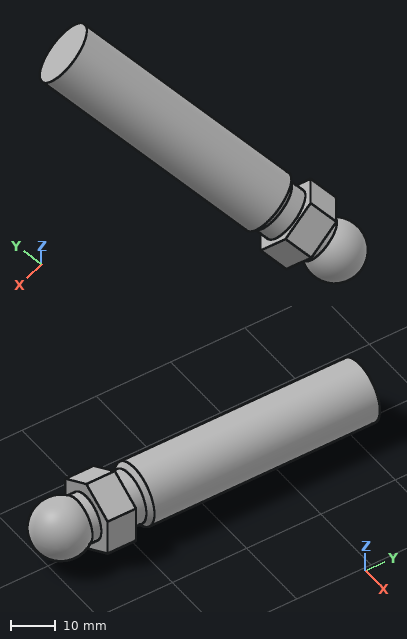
import cadquery as cq
import math

total_length = 88.0
ball_diameter = 15.0
neck_diameter = 12.0
hex_across_flats = 17.0
hex_thickness = 7.7
undercut_diameter = 13.5
shank_diameter = 16.0

hex_start = 14.3
cone_start = 26.0
shank_start = 27.3

tip_y = -total_length / 2
shank_end_y = total_length / 2
ball_radius = ball_diameter / 2
neck_radius = neck_diameter / 2
undercut_radius = undercut_diameter / 2
shank_radius = shank_diameter / 2
ball_center_y = tip_y + ball_radius
hex_start_y = tip_y + hex_start
hex_end_y = hex_start_y + hex_thickness

neck_start_y = ball_center_y + math.sqrt(ball_radius**2 - neck_radius**2)


def make_turned_body():
    """Ball, neck, undercut, cone and shank revolved about the Y axis."""
    return (
        cq.Workplane("XY")
        .moveTo(0, tip_y)
        .threePointArc((ball_radius, ball_center_y), (neck_radius, neck_start_y))
        .lineTo(neck_radius, hex_start_y)
        .lineTo(undercut_radius, hex_start_y)
        .lineTo(undercut_radius, tip_y + cone_start)
        .lineTo(shank_radius, tip_y + shank_start)
        .lineTo(shank_radius, shank_end_y)
        .lineTo(0, shank_end_y)
        .close()
        .revolve(360, (0, 0), (0, 1))
    )


def make_hex_collar():
    """Hexagonal wrench collar with corners pointing up and down Z."""
    corner_diameter = hex_across_flats / math.cos(math.pi / 6)
    return (
        cq.Workplane("XZ", origin=(0, hex_end_y, 0))
        .transformed(rotate=(0, 0, 90))
        .polygon(6, corner_diameter)
        .extrude(hex_thickness)
    )


result = make_turned_body().union(make_hex_collar())